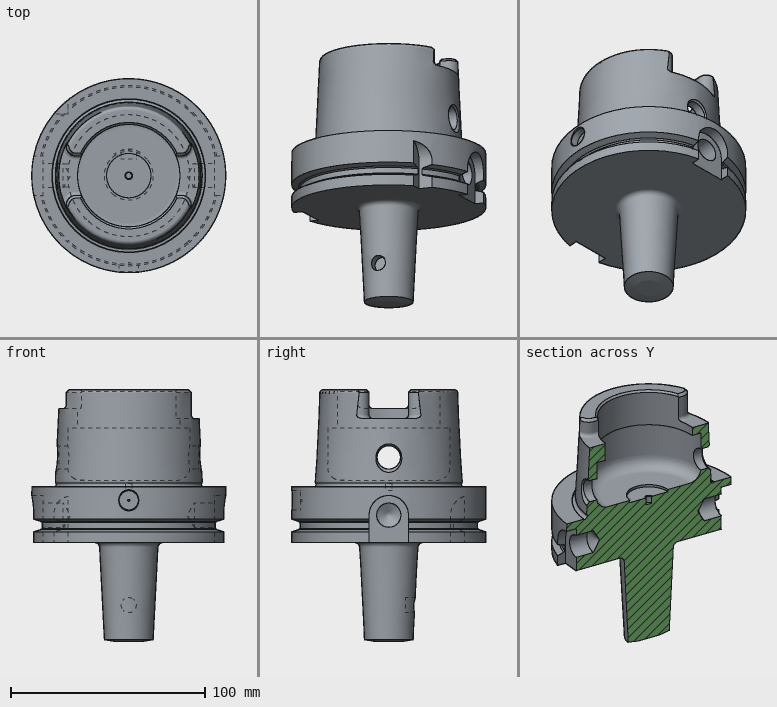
import cadquery as cq
import math


total_length = 129.9

shank_height = 50.0
shank_base_radius = 37.9
shank_base_height = 2.6
taper_slope = 1 / 20
relief_start_radius = 37.8
relief_start_height = 2.0
relief_neck_radius = 37.5
relief_neck_height = 0.9
relief_foot_radius = 38.7
relief_depth = 0.3
relief_outer_radius = 39.6
rim_fillet = 2.0

bore_radius = 26.4
bore_chamfer = 1.0
bore_lip_height = 30.3
chamber_radius = 31.5
chamber_floor = 3.2
chamber_fillet = 6.6
pocket_radius = 11.4
pocket_depth = 1.3
center_hole_radius = 2.0
center_hole_depth = 3.9
center_hole_chamfer = 0.4

drive_slot_width = 20.3
left_slot_depth = 9.7
right_slot_depth = 15.0
drive_lug_half_length = 32.2
drive_lug_rounding = 5.2
drive_lug_chamfer = 1.4
drive_relief_half_width = 18.2
drive_floor_fillet = 2.0

cross_hole_height = 15.1
cross_hole_radius = 6.0
countersink_apex = 30.0

flange_radius = 50.0
flange_thickness = 28.8
groove_root_radius = 45.7
groove_shoulder_radius = 46.5
groove_middle = -20.0
groove_half_mouth = 3.2
groove_half_shoulder = 2.1
groove_half_root = 1.4

key_slot_width = 20.3
key_slot_top = -4.5
key_floor_distance = 44.2
key_hole_radius = 6.2
key_hole_depth = 10.4
drill_point_angle = 118
notch_side = 31.8
notch_floor_distance = 31.3

chip_hole_height = -7.0
chip_hole_radius = 5.0
chip_hole_depth = 4.5
chip_hole_chamfer = 0.5
chip_pilot_radius = 0.5
chip_pilot_depth = 0.6

nose_end = shank_height - total_length
nose_root_radius = 15.1
nose_root_fillet = 2.6
nose_end_radius = 12.6
nose_face_radius = 6.5
nose_face_cone = 1.0
screw_hole_height = -61.0
screw_hole_radius = 3.9
screw_hole_depth = 6.5

key_slot_center = key_slot_top - key_slot_width / 2


def shank_radius(height):
    return shank_base_radius - (height - shank_base_height) * taper_slope


def quarter_arc_inset(radius):
    """Distance from each tangent line of a quarter arc to the middle of the arc."""
    return radius * (1 - math.sqrt(0.5))


def make_body():
    """Revolve the solid outline of shank, flange and nose."""
    flange_bottom = -flange_thickness
    nose_root = flange_bottom - nose_root_fillet
    fillet_middle = quarter_arc_inset(nose_root_fillet)
    rim_radius = shank_radius(shank_height - rim_fillet)
    rim_middle = quarter_arc_inset(rim_fillet)
    outline = (
        cq.Workplane("XZ")
        .moveTo(0, shank_height)
        .lineTo(rim_radius - rim_fillet, shank_height)
        .threePointArc(
            (rim_radius - rim_middle, shank_height - rim_middle),
            (rim_radius, shank_height - rim_fillet),
        )
        .lineTo(shank_base_radius, shank_base_height)
        .lineTo(relief_start_radius, relief_start_height)
        .threePointArc((relief_neck_radius, relief_neck_height), (relief_foot_radius, -relief_depth))
        .lineTo(relief_outer_radius - relief_depth, -relief_depth)
        .lineTo(relief_outer_radius, 0)
        .lineTo(flange_radius, 0)
        .lineTo(flange_radius, groove_middle + groove_half_mouth)
        .lineTo(groove_shoulder_radius, groove_middle + groove_half_shoulder)
        .lineTo(groove_root_radius, groove_middle + groove_half_root)
        .lineTo(groove_root_radius, groove_middle - groove_half_root)
        .lineTo(groove_shoulder_radius, groove_middle - groove_half_shoulder)
        .lineTo(flange_radius, groove_middle - groove_half_mouth)
        .lineTo(flange_radius, flange_bottom)
        .lineTo(nose_root_radius + nose_root_fillet, flange_bottom)
        .threePointArc(
            (nose_root_radius + fillet_middle, flange_bottom - fillet_middle),
            (nose_root_radius, nose_root),
        )
        .lineTo(nose_end_radius, nose_end + nose_face_cone)
        .lineTo(nose_face_radius, nose_end)
        .lineTo(0, nose_end)
        .close()
    )
    return outline.revolve(360, (0, 0, 0), (0, 1, 0))


def make_bore():
    """Revolve the hollow of the shank, down to the small hole in its floor."""
    pocket_floor = chamber_floor - pocket_depth
    fillet_middle = quarter_arc_inset(chamber_fillet)
    outline = (
        cq.Workplane("XZ")
        .moveTo(0, shank_height)
        .lineTo(bore_radius + bore_chamfer, shank_height)
        .lineTo(bore_radius, shank_height - bore_chamfer)
        .lineTo(bore_radius, bore_lip_height)
        .lineTo(chamber_radius, bore_lip_height)
        .lineTo(chamber_radius, chamber_floor + chamber_fillet)
        .threePointArc(
            (chamber_radius - fillet_middle, chamber_floor + fillet_middle),
            (chamber_radius - chamber_fillet, chamber_floor),
        )
        .lineTo(pocket_radius, chamber_floor)
        .lineTo(pocket_radius, pocket_floor)
        .lineTo(center_hole_radius, pocket_floor)
        .lineTo(center_hole_radius - center_hole_chamfer, pocket_floor - center_hole_chamfer)
        .lineTo(center_hole_radius - center_hole_chamfer, pocket_floor - center_hole_depth)
        .lineTo(0, pocket_floor - center_hole_depth)
        .close()
    )
    return outline.revolve(360, (0, 0, 0), (0, 1, 0))


def drive_slot_outline(side, height):
    """Plan outline of a drive slot, widening outside the rounded ends of the drive lugs."""
    half_width = drive_slot_width / 2
    rounding_start = side * (drive_lug_half_length - drive_lug_rounding)
    lug_end = side * drive_lug_half_length
    outer_end = side * flange_radius
    rounding_middle = quarter_arc_inset(drive_lug_rounding)
    arc_middle_x = side * (drive_lug_half_length - rounding_middle)
    arc_middle_y = half_width + rounding_middle
    return (
        cq.Workplane("XY")
        .workplane(offset=height)
        .moveTo(0, -half_width)
        .lineTo(rounding_start, -half_width)
        .threePointArc((arc_middle_x, -arc_middle_y), (lug_end, -half_width - drive_lug_rounding))
        .lineTo(lug_end, -drive_relief_half_width)
        .lineTo(outer_end, -drive_relief_half_width)
        .lineTo(outer_end, drive_relief_half_width)
        .lineTo(lug_end, drive_relief_half_width)
        .lineTo(lug_end, half_width + drive_lug_rounding)
        .threePointArc((arc_middle_x, arc_middle_y), (rounding_start, half_width))
        .lineTo(0, half_width)
        .close()
    )


def make_drive_slot(side, depth):
    """Slot across one side of the rim, with a filleted floor and a chamfered upper edge."""
    slot = (
        drive_slot_outline(side, shank_height - depth)
        .extrude(depth)
        .faces("<Z")
        .edges()
        .fillet(drive_floor_fillet)
    )
    flare_base = drive_slot_outline(side, shank_height - drive_lug_chamfer)
    flare = flare_base.extrude(drive_lug_chamfer, taper=-45)
    return slot.union(flare)


def make_key_slot(side, floor_distance, center_y=0):
    """Slot in the flange edge along X, open below, with a round top end."""
    length = flange_radius
    height = key_slot_center + flange_thickness
    block = cq.Workplane("XY").box(length, key_slot_width, height, centered=(False, True, False))
    block = block.translate((0, 0, -flange_thickness))
    round_end = (
        cq.Workplane("YZ").center(0, key_slot_center).circle(key_slot_width / 2).extrude(length)
    )
    slot = block.union(round_end).translate((floor_distance, center_y, 0))
    if side < 0:
        slot = slot.mirror("YZ")
    return slot


def make_key_hole(side):
    """Drilled hole with a conical end in the floor of a key slot."""
    point_depth = key_hole_radius / math.tan(math.radians(drill_point_angle / 2))
    hole = (
        cq.Workplane("XY")
        .moveTo(key_floor_distance, 0)
        .lineTo(key_floor_distance, key_hole_radius)
        .lineTo(key_floor_distance - key_hole_depth, key_hole_radius)
        .lineTo(key_floor_distance - key_hole_depth - point_depth, 0)
        .close()
        .revolve(360, (0, 0, 0), (1, 0, 0))
        .translate((0, 0, key_slot_center))
    )
    if side < 0:
        hole = hole.mirror("YZ")
    return hole


def make_cross_hole():
    """Hole through both shank walls, with a 90 degree countersink at each outer mouth."""
    outer_end = shank_base_radius
    return (
        cq.Workplane("XY")
        .moveTo(-outer_end, 0)
        .lineTo(-outer_end, outer_end - countersink_apex)
        .lineTo(-countersink_apex - cross_hole_radius, cross_hole_radius)
        .lineTo(countersink_apex + cross_hole_radius, cross_hole_radius)
        .lineTo(outer_end, outer_end - countersink_apex)
        .lineTo(outer_end, 0)
        .close()
        .revolve(360, (0, 0, 0), (1, 0, 0))
        .translate((0, 0, cross_hole_height))
    )


def make_chip_hole():
    """Flat-bottomed hole on the -Y side with a chamfered mouth and a tiny pilot mark."""
    floor_y = flange_radius - chip_hole_depth
    mouth_radius = chip_hole_radius + chip_hole_chamfer
    return (
        cq.Workplane("XY")
        .moveTo(0, -flange_radius)
        .lineTo(mouth_radius, -flange_radius)
        .lineTo(chip_hole_radius, chip_hole_chamfer - flange_radius)
        .lineTo(chip_hole_radius, -floor_y)
        .lineTo(chip_pilot_radius, -floor_y)
        .lineTo(chip_pilot_radius, chip_pilot_depth - floor_y)
        .lineTo(0, chip_pilot_depth - floor_y)
        .close()
        .revolve(360, (0, 0, 0), (0, 1, 0))
        .translate((0, 0, chip_hole_height))
    )


def make_screw_hole():
    """Round blind hole in the +Y side of the nose."""
    return (
        cq.Workplane("XZ", origin=(0, nose_root_radius, screw_hole_height))
        .circle(screw_hole_radius)
        .extrude(screw_hole_depth)
    )


result = make_body().cut(make_bore())
result = result.cut(make_drive_slot(-1, left_slot_depth))
result = result.cut(make_drive_slot(1, right_slot_depth))
result = result.cut(make_cross_hole())

for side in (-1, 1):
    result = result.cut(make_key_slot(side, key_floor_distance))
    result = result.cut(make_key_hole(side))

result = result.cut(make_key_slot(-1, notch_floor_distance, notch_side + key_slot_width / 2))
result = result.cut(make_chip_hole())
result = result.cut(make_screw_hole())